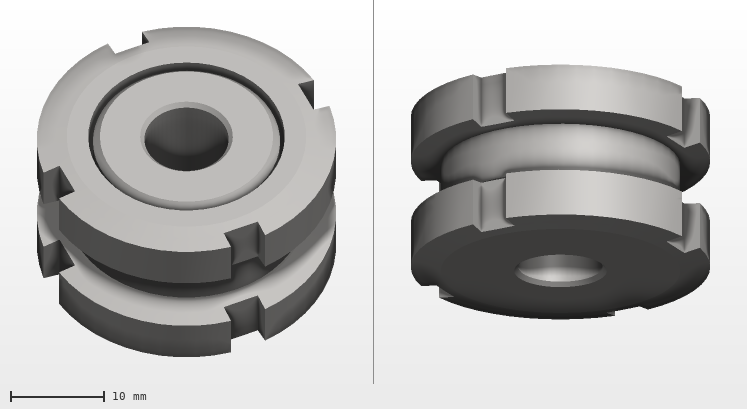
import cadquery as cq

flange_radius = 16.0
flange_height = 6.0
flange_face_radius = 12.8
flange_bevel_height = 0.45

notch_count = 4
notch_width = 4.0
notch_floor_radius = 14.0

total_height = 18.0
upper_flange_base = total_height - flange_height

hub_radius = flange_face_radius
hub_chamfer = 0.5

stud_radius = 10.0
stud_chamfer = 0.75
bore_radius = 10.5

hole_radius = 4.5
hole_chamfer = 0.45


def cylinder(radius, base, top):
    return cq.Workplane("XY").workplane(offset=base).circle(radius).extrude(top - base)


def notched_flange(base):
    """Disc with shallow bevels on both rims and square notches for a hook wrench."""
    top = base + flange_height
    flange = (
        cq.Workplane("XZ")
        .moveTo(0, base)
        .lineTo(flange_face_radius, base)
        .lineTo(flange_radius, base + flange_bevel_height)
        .lineTo(flange_radius, top - flange_bevel_height)
        .lineTo(flange_face_radius, top)
        .lineTo(0, top)
        .close()
        .revolve(360, (0, 0, 0), (0, 1, 0))
    )
    cutter_length = flange_radius
    notches = (
        cq.Workplane("XY")
        .workplane(offset=base)
        .polarArray(notch_floor_radius + cutter_length / 2, 0, 360, notch_count)
        .rect(cutter_length, notch_width)
        .extrude(flange_height)
    )
    return flange.cut(notches)


def make_base():
    """Lower flange with a central stud and a bolt hole through both."""
    stud = cylinder(stud_radius, 0, total_height)
    stud = stud.faces(">Z").chamfer(stud_chamfer)
    hole = cylinder(hole_radius, 0, total_height)
    solid = notched_flange(0).union(stud).cut(hole)
    return solid.faces("<Z or >Z").edges(cq.selectors.RadiusNthSelector(0)).chamfer(hole_chamfer)


def make_nut():
    """Upper flange with a hub below it, bored through for the stud."""
    hub = cylinder(hub_radius, flange_height, upper_flange_base)
    hub = hub.faces("<Z").chamfer(hub_chamfer)
    bore = cylinder(bore_radius, flange_height, total_height)
    return notched_flange(upper_flange_base).union(hub).cut(bore)


base = make_base()
nut = make_nut()

result = cq.Compound.makeCompound([base.val(), nut.val()])